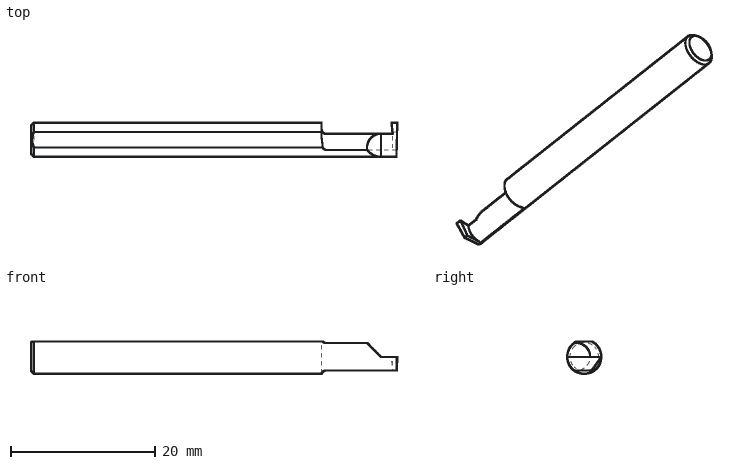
import cadquery as cq
import math

total_length = 50.8
shank_diameter = 4.75
shank_radius = shank_diameter / 2
shank_length = 40.3
overall_height = 4.5
flat_height = overall_height - shank_radius
rear_chamfer = 0.4

neck_radius = 1.91
neck_axis_y = -1.09
neck_root_fillet = 0.6
root_tolerance = 0.01

rake_height = 0.0
ramp_end_x = 48.5
ramp_angle = 45.0

tooth_tip_width = 0.85
tooth_base_width = 0.68
tooth_tip_y = shank_radius
tooth_corner_radius = 0.1
tooth_relief_angle = 35.0
front_relief_angle = 1.0
end_edge_angle = 1.5


def make_shank(length):
    """Bar of the given length, chamfered at the rear, with the clamping flat along its top."""
    bar = cq.Workplane("YZ").circle(shank_radius).extrude(length).faces("<X").chamfer(rear_chamfer)
    above_flat = (
        cq.Workplane("XY", origin=(0, 0, flat_height))
        .rect(2 * length, shank_diameter)
        .extrude(shank_diameter)
    )
    return bar.cut(above_flat)


def make_neck():
    """Neck with a concave fillet where it meets the shank end face."""
    neck = (
        cq.Workplane("YZ", origin=(shank_length, 0, 0))
        .moveTo(-shank_diameter, -neck_radius)
        .lineTo(neck_axis_y, -neck_radius)
        .threePointArc((neck_axis_y + neck_radius, 0), (neck_axis_y, neck_radius))
        .lineTo(-shank_diameter, neck_radius)
        .close()
        .extrude(total_length - shank_length)
    )
    wall = (
        cq.Workplane("YZ", origin=(shank_length, 0, 0))
        .rect(2 * shank_diameter, 2 * shank_diameter)
        .extrude(-neck_root_fillet)
    )
    reach = shank_diameter - root_tolerance
    neck_root = cq.selectors.BoxSelector(
        (shank_length - root_tolerance, -reach, -reach),
        (shank_length + root_tolerance, reach, reach),
    )
    filleted = wall.union(neck).edges(neck_root).fillet(neck_root_fillet)
    return filleted.intersect(make_shank(total_length))


def make_tooth():
    """Grooving tooth below the rake face, relieved under its tip and rounded at its inner corner."""
    tooth = (
        cq.Workplane("XY", origin=(0, 0, -neck_radius))
        .moveTo(total_length, neck_axis_y)
        .lineTo(total_length, tooth_tip_y)
        .lineTo(total_length - tooth_tip_width, tooth_tip_y)
        .lineTo(total_length - tooth_base_width, neck_axis_y + neck_radius)
        .lineTo(total_length - tooth_base_width, neck_axis_y)
        .close()
        .extrude(neck_radius + rake_height)
        .edges("|Z").edges(">Y").edges("<X")
        .fillet(tooth_corner_radius)
    )
    relief_run = neck_radius * math.tan(math.radians(tooth_relief_angle))
    relief = (
        cq.Workplane("YZ")
        .moveTo(tooth_tip_y, rake_height)
        .lineTo(tooth_tip_y, -neck_radius)
        .lineTo(tooth_tip_y - relief_run, -neck_radius)
        .close()
        .extrude(total_length)
    )
    return tooth.cut(relief)


def ramp_cutter():
    """Material above the sloping ramp and the rake face."""
    rise = shank_diameter
    run = rise / math.tan(math.radians(ramp_angle))
    return (
        cq.Workplane("XZ")
        .moveTo(total_length, rake_height)
        .lineTo(ramp_end_x, rake_height)
        .lineTo(ramp_end_x - run, rake_height + rise)
        .lineTo(total_length, rake_height + rise)
        .close()
        .extrude(shank_diameter, both=True)
    )


def end_face_cutter():
    """Material beyond the end face, which runs back from the tooth corner in plan and in depth."""
    margin = shank_diameter
    setback = shank_diameter * math.tan(math.radians(end_edge_angle))
    lean = neck_radius * math.tan(math.radians(front_relief_angle))

    def section(z, shift):
        return [
            cq.Vector(total_length - shift, tooth_tip_y, z),
            cq.Vector(total_length - shift - setback, -shank_radius, z),
            cq.Vector(total_length + margin, -shank_radius, z),
            cq.Vector(total_length + margin, tooth_tip_y, z),
        ]

    upper = cq.Wire.makePolygon(section(rake_height, 0), close=True)
    lower = cq.Wire.makePolygon(section(-neck_radius, lean), close=True)
    return cq.Workplane("XY").add(cq.Solid.makeLoft([upper, lower], True))


head = make_neck().union(make_tooth()).cut(ramp_cutter()).cut(end_face_cutter())
result = make_shank(shank_length).union(head)